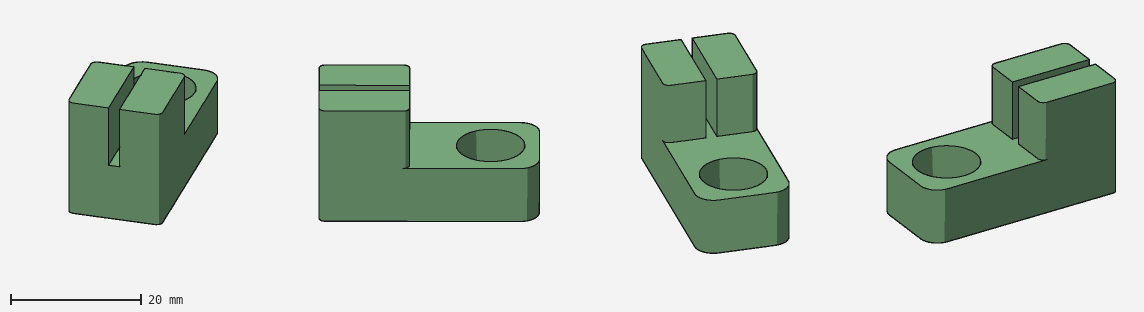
import cadquery as cq

width = 15.0
length = 33.88
height = 19.25

block_length = 13.92
slot_width = 1.75
slot_depth = 10.0
base_height = height - slot_depth

block_radius = 1.0
base_end_radius = 3.0

bore_diameter = 8.0
counterbore_diameter = 10.5
ledge_thickness = 2.0

front_y = -length / 2
back_y = length / 2
hole_y = back_y - width / 2


def make_base():
    """Flat base with small front corners and large back corners."""
    base = cq.Workplane("XY").box(width, length, base_height, centered=(True, True, False))
    base = base.edges("|Z and <Y").fillet(block_radius)
    return base.edges("|Z and >Y").fillet(base_end_radius)


def make_block():
    """Full-height block at the front, rounded at all vertical corners."""
    return (
        cq.Workplane("XY", origin=(0, front_y + block_length / 2, base_height))
        .box(width, block_length, slot_depth, centered=(True, True, False))
        .edges("|Z")
        .fillet(block_radius)
    )


def make_slot():
    """Cutter for the slot running through the block along Y."""
    return (
        cq.Workplane("XY", origin=(0, front_y + block_length / 2, base_height))
        .box(slot_width, block_length, slot_depth, centered=(True, True, False))
    )


def make_stepped_hole():
    """Cutter for the through bore and the counterbore above its ledge."""
    bore = cq.Workplane("XY", origin=(0, hole_y, 0)).circle(bore_diameter / 2).extrude(base_height)
    counterbore = (
        cq.Workplane("XY", origin=(0, hole_y, ledge_thickness))
        .circle(counterbore_diameter / 2)
        .extrude(base_height - ledge_thickness)
    )
    return bore.union(counterbore)


result = make_base().union(make_block()).cut(make_slot()).cut(make_stepped_hole())